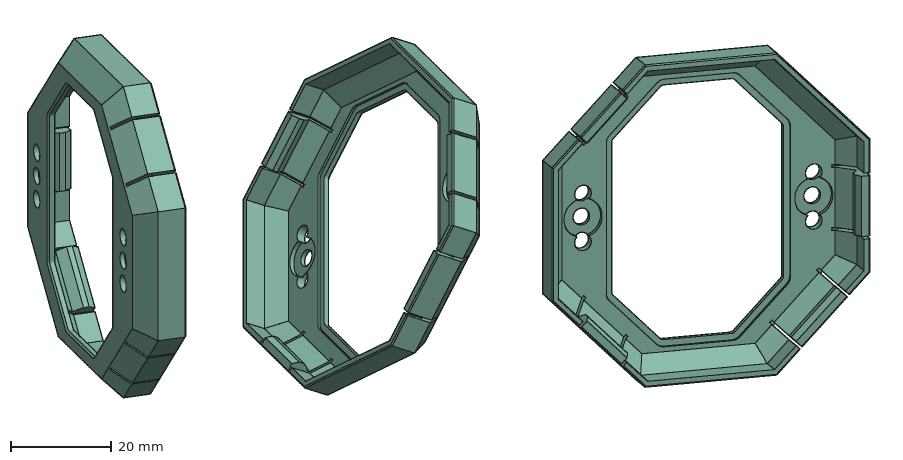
import cadquery as cq
import math

width = 66.75
depth = 10.0
front_chamfer = 4.0
back_chamfer = 0.3
half_corner_angle = 22.5

wall = 1.3
plate = 2.0
cavity_chamfer = 3.4

opening_width = 36.05
opening_height = 52.75
opening_corner = 10.5
opening_fillet = 1.0
opening_flare = 0.4

ledge_width = 1.35
lip_thickness = 1.5

hole_diameter = 3.5
hole_spacing = 5.0
hole_column_x = 24.25
hole_column_z = 0.55
pocket_diameter = 8.0
pocket_floor = 1.0

slit_width = 0.6
slit_reach = 5.35
straight_slit_skin = 1.1
diagonal_slit_skin = 0.4
tongue_sides = [
    (45, (-5.75, 6.8), diagonal_slit_skin),
    (180, (-6.55, 6.55), straight_slit_skin),
    (225, (-7.5, 6.55), diagonal_slit_skin),
    (315, (-6.8, 5.7), diagonal_slit_skin),
]

ridge_height = 1.4
ridge_edge_height = 0.6
ridge_lead_in = 1.5
ridge_crest = 1.2
ridge_ramp = 2.2


def octagon(across_flats, start, length):
    """Octagonal prism with flats square to X and Z, running toward +Y from start."""
    across_corners = across_flats / math.cos(math.radians(half_corner_angle))
    return (
        cq.Workplane("XZ", origin=(0, start, 0))
        .transformed(rotate=(0, 0, half_corner_angle))
        .polygon(8, across_corners)
        .extrude(-length)
    )


def turn_to_side(shape, angle):
    """Turn a shape made at the +X side of the rim round to another side."""
    return shape.rotate((0, 0, 0), (0, 1, 0), -angle)


def opening(margin, start, length):
    """Prism in the shape of the opening, grown outward by a margin."""
    cut_back = opening_corner + margin * (2 - math.sqrt(2))
    return (
        cq.Workplane("XZ", origin=(0, start, 0))
        .rect(opening_width + 2 * margin, opening_height + 2 * margin)
        .extrude(-length)
        .edges("|Y")
        .chamfer(cut_back)
        .edges("|Y")
        .fillet(opening_fillet + margin)
    )


def opening_cutter():
    """Opening with a flared mouth at the front face."""
    mouth = opening(opening_flare, -opening_flare, 2 * opening_flare).faces(">Y").chamfer(opening_flare)
    return opening(0, 0, depth).union(mouth)


def cylinders(diameter, heights, start):
    """Round cutters at both hole columns, at the given Z heights, from start to the back."""
    centres = [(side * hole_column_x, height) for side in (-1, 1) for height in heights]
    return (
        cq.Workplane("XZ", origin=(0, start, 0))
        .pushPoints(centres)
        .circle(diameter / 2)
        .extrude(start - depth)
    )


def ridge(places):
    """Snap ridge on the +X side, spanning from one slit to the other."""
    base = width / 2 - wall
    crest_back = depth - ridge_lead_in
    crest_front = crest_back - ridge_crest
    profile = [
        (base, crest_front - ridge_ramp),
        (base - ridge_height, crest_front),
        (base - ridge_height, crest_back),
        (base - ridge_edge_height, depth),
        (base, depth),
    ]
    low, high = places
    return cq.Workplane("XY", origin=(0, 0, low)).polyline(profile).close().extrude(high - low)


def slit(place, skin):
    """Slit through the +X side of the rim, open at the back."""
    return cq.Workplane("XY").box(slit_reach, depth, slit_width).translate(
        (width / 2 - slit_reach / 2, skin + depth / 2, place)
    )


body = octagon(width, 0, depth)
body = body.faces("<Y").chamfer(front_chamfer)
body = body.faces(">Y").chamfer(back_chamfer)

cavity = octagon(width - 2 * wall, plate, depth).faces("<Y").chamfer(cavity_chamfer)
frame = body.cut(cavity)

frame = frame.cut(opening(ledge_width, lip_thickness, depth))
frame = frame.cut(opening_cutter())

hole_heights = [hole_column_z + step * hole_spacing for step in (-1, 0, 1)]
frame = frame.cut(cylinders(hole_diameter, hole_heights, 0))
frame = frame.cut(cylinders(pocket_diameter, [hole_column_z], pocket_floor))

for angle, places, skin in tongue_sides:
    frame = frame.union(turn_to_side(ridge(places), angle))
    for place in places:
        frame = frame.cut(turn_to_side(slit(place, skin), angle))

result = frame